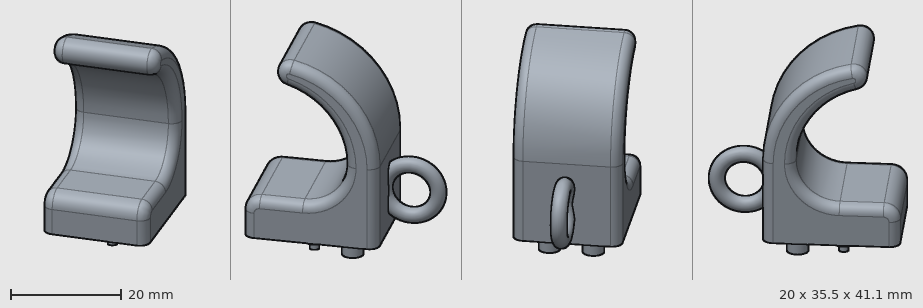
import cadquery as cq
import math

width = 20.0
depth = 25.0
wall_thickness = 6.0
foot_height = 8.0
foot_nose_radius = 3.0
throat_radius = 7.97
side_round = 1.97

arm_outer_radius = 19.9
tip_radius = 2.45
tip_angle = math.radians(11.3)

ring_radius = 5.0
ring_wire_diameter = 3.0
ring_overhang = 4.0
ring_height = foot_height

pin_diameter = 4.0
pin_length = 4.0
pin_spread = 4.03
rear_pin_setback = 6.0
front_pin_setback = 14.05
stud_diameter = 1.75
total_height = 41.1

arm_base_z = foot_height + throat_radius
outer_center_y = -arm_outer_radius
tip_center_radius = arm_outer_radius - tip_radius
tip_y = outer_center_y + tip_center_radius * math.sin(tip_angle)
tip_z = arm_base_z + tip_center_radius * math.cos(tip_angle)
stud_length = total_height - (tip_z + tip_radius) - pin_length

tip_reach = -tip_y - wall_thickness
tip_rise = tip_z - arm_base_z
arm_inner_radius = (tip_reach**2 + tip_rise**2 - tip_radius**2) / (2 * (tip_reach + tip_radius))
inner_center_y = -wall_thickness - arm_inner_radius
inner_tip_angle = math.atan2(tip_y - inner_center_y, tip_rise)


def arc_point(center_y, center_z, radius, angle):
    """Point on a YZ circle; the angle runs from +Z toward +Y."""
    return (center_y + radius * math.sin(angle), center_z + radius * math.cos(angle))


def make_body():
    mid_outer = (math.pi / 2 + tip_angle) / 2
    mid_inner = (math.pi / 2 + inner_tip_angle) / 2
    throat_center_y = -wall_thickness - throat_radius
    nose_center = (-depth + foot_nose_radius, foot_height - foot_nose_radius)
    profile = (
        cq.Workplane("YZ", origin=(-width / 2, 0, 0))
        .moveTo(-depth, 0)
        .lineTo(0, 0)
        .lineTo(0, arm_base_z)
        .threePointArc(
            arc_point(outer_center_y, arm_base_z, arm_outer_radius, mid_outer),
            arc_point(outer_center_y, arm_base_z, arm_outer_radius, tip_angle),
        )
        .threePointArc(
            arc_point(tip_y, tip_z, tip_radius, tip_angle - math.pi / 2),
            arc_point(inner_center_y, arm_base_z, arm_inner_radius, inner_tip_angle),
        )
        .threePointArc(
            arc_point(inner_center_y, arm_base_z, arm_inner_radius, mid_inner),
            (-wall_thickness, arm_base_z),
        )
        .threePointArc(
            arc_point(throat_center_y, arm_base_z, throat_radius, 3 * math.pi / 4),
            (throat_center_y, foot_height),
        )
        .lineTo(nose_center[0], foot_height)
        .threePointArc(
            arc_point(*nose_center, foot_nose_radius, -math.pi / 4),
            (-depth, nose_center[1]),
        )
        .close()
    )
    body = profile.extrude(width)
    bottom = body.faces("<Z").edges("|Y").vals()
    side_edges = body.faces("<X or >X").edges().vals()
    rounded = [edge for edge in side_edges if not any(edge.isSame(other) for other in bottom)]
    return body.newObject(rounded).fillet(side_round)


def make_ring():
    ring = cq.Solid.makeTorus(
        ring_radius, ring_wire_diameter / 2, cq.Vector(0, ring_overhang, ring_height), cq.Vector(1, 0, 0)
    )
    return cq.Workplane(ring)


def make_pin(x, y, diameter, length):
    return cq.Workplane("XY").center(x, y).circle(diameter / 2).extrude(-length)


result = make_body().union(make_ring())
pin_places = [(-pin_spread, -rear_pin_setback), (pin_spread, -rear_pin_setback), (0, -front_pin_setback)]
for x, y in pin_places:
    result = result.union(make_pin(x, y, pin_diameter, pin_length))
result = result.union(make_pin(0, -front_pin_setback, stud_diameter, pin_length + stud_length))